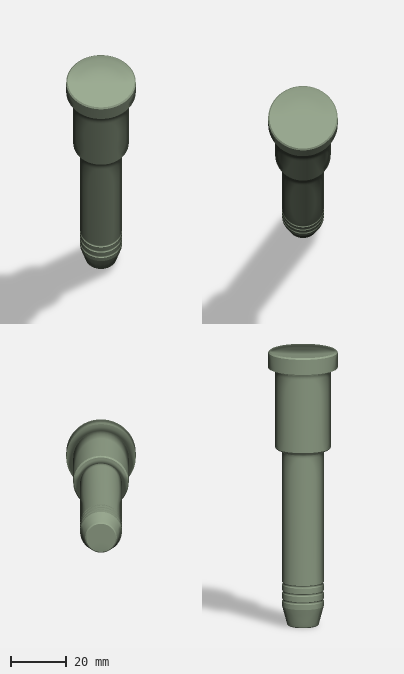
import cadquery as cq
import math

total_length = 101
edge_chamfer = 0.5

head_radius = 12.5
head_height = 6.1
head_bottom = total_length - head_height

body_radius = 10.0
body_length = 29.9
body_bottom = head_bottom - body_length

shank_diameter = 15.0
shank_radius = shank_diameter / 2

relief_depth = 0.3
relief_height = 1.0

neck_fillet_radius = 0.5

groove_radius = 0.5
tip_groove_count = 3
lowest_groove_center = 9.5
groove_pitch = 3.0

taper_angle = 15
taper_height = 7.2
tip_chamfer = 0.4


def chamfered_body():
    """Body with both ends chamfered, then flared into the underside of the head."""
    bevelled_radius = body_radius - edge_chamfer
    neck_bottom = head_bottom - neck_fillet_radius
    diagonal_inset = neck_fillet_radius * (1 - math.sqrt(0.5))
    return (
        cq.Workplane("XZ")
        .moveTo(0, body_bottom)
        .lineTo(bevelled_radius, body_bottom)
        .lineTo(body_radius, body_bottom + edge_chamfer)
        .lineTo(body_radius, neck_bottom - edge_chamfer)
        .lineTo(bevelled_radius, neck_bottom)
        .threePointArc(
            (bevelled_radius + diagonal_inset, head_bottom - diagonal_inset),
            (bevelled_radius + neck_fillet_radius, head_bottom),
        )
        .lineTo(0, head_bottom)
        .close()
        .revolve(360, (0, 0, 0), (0, 1, 0))
    )


def tip_groove(center_height):
    """Ring whose inner half cuts a half-round groove into the shank."""
    return (
        cq.Workplane("XZ")
        .center(shank_radius, center_height)
        .circle(groove_radius)
        .revolve(360, (-shank_radius, 0, 0), (-shank_radius, 1, 0))
    )


def tapered_shank():
    """Shank with a conical lead-in and a small bevel around the tip face."""
    taper_slope = math.tan(math.radians(taper_angle))
    bevel_radius = shank_radius - (taper_height - tip_chamfer) * taper_slope
    return (
        cq.Workplane("XZ")
        .lineTo(bevel_radius - tip_chamfer, 0)
        .lineTo(bevel_radius, tip_chamfer)
        .lineTo(shank_radius, taper_height)
        .lineTo(shank_radius, body_bottom - relief_height)
        .lineTo(shank_radius - relief_depth, body_bottom - relief_height)
        .lineTo(shank_radius - relief_depth, body_bottom)
        .lineTo(0, body_bottom)
        .close()
        .revolve(360, (0, 0, 0), (0, 1, 0))
    )


head = (
    cq.Workplane("XY")
    .workplane(offset=head_bottom)
    .circle(head_radius)
    .extrude(head_height)
    .faces(">Z")
    .chamfer(edge_chamfer)
)

result = tapered_shank().union(chamfered_body()).union(head)
for index in range(tip_groove_count):
    groove_center = lowest_groove_center + index * groove_pitch
    result = result.cut(tip_groove(groove_center))